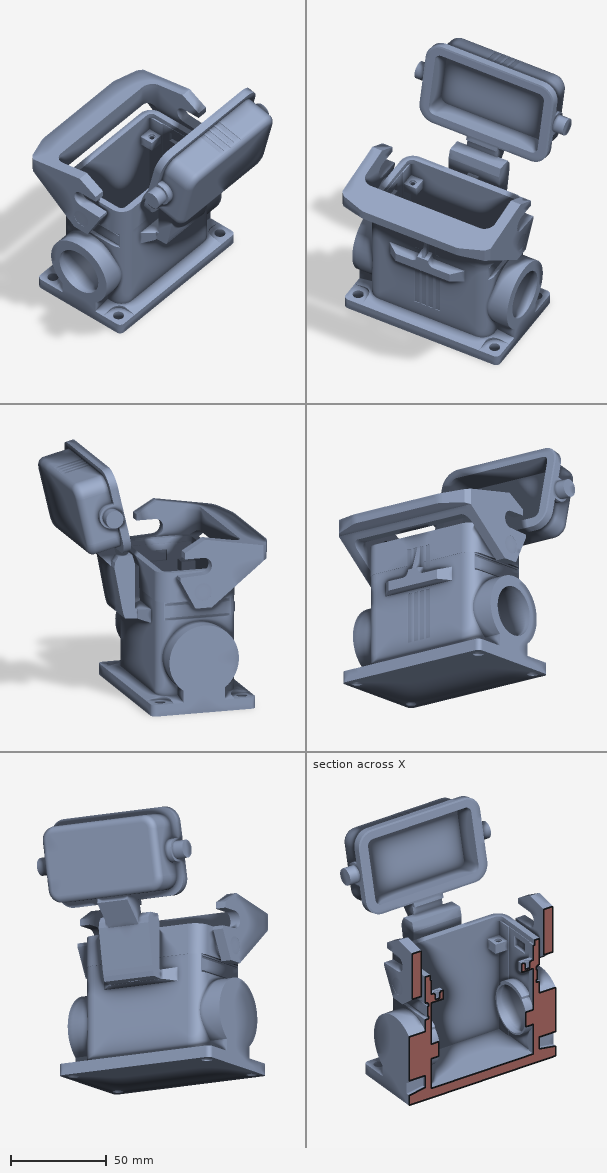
import cadquery as cq
import math

flange_length_x = 57.4
flange_length_y = 93.0
flange_edge_height = 6.2
flange_wall_height = 7.8
flange_corner_radius = 2.7
mount_hole_x = 22.5
mount_hole_y = 41.0
mount_hole_diameter = 5.8
mount_pad_radius = 5.8

body_length_x = 43.6
body_length_y = 72.6
body_height = 74.3
body_corner_radius = 7.4
collar_bottom = 58.2
collar_step = 0.2
cavity_length_x = 36.4
cavity_length_y = 66.0
cavity_corner_radius = 3.0
cavity_floor = 6.0
cavity_lip_depth = 2.9
end_wall_lip = 0.8
channel_lip = 0.25
channel_half_width = 9.8
pocket_half_width = 5.0
pocket_range = (62.0, 68.0)
pocket_depth = 1.8

entry_height = 28.1
entry_outer_radius = 19.1
entry_bore_radius = 13.3
entry_drum_radius = 14.3
entry_crown_radius = 15.3
entry_drum_y = 27.4
pedestal_width = 22.6

lug_length_x = 7.7
lug_length_y = 8.2
lug_top = 62.7
lug_thickness = 5.5
lug_screw_x = 13.5
lug_screw_y = 28.5
lug_screw_diameter = 2.6
lug_screw_depth = 4.0
lug_counterbore_diameter = 3.8
lug_counterbore_depth = 0.6

panel_width = 37.0
panel_bottom = 48.5
panel_depth = 1.45
panel_groove_width = 35.4
panel_groove_ranges = ((48.5, 49.7), (56.1, 57.4))
panel_groove_depth = 0.6

groove_count = 4
groove_width = 2.8
groove_pitch = 4.12
groove_depth = 0.3
lower_groove_range = (16.0, 42.8)
upper_groove_range = (55.1, 67.1)

catch_reach = 26.6
catch_root_half_width = 22.5
catch_tip_half_width = 16.3
catch_root_range = (44.4, 51.8)
catch_tip_range = (45.3, 50.4)
saddle_top = 54.2
saddle_root_top = 55.6
saddle_half_width = 3.2
saddle_fillet = 3.5
gusset_width = 1.8
gusset_top = 66.7

lever_half_width = 44.6
lever_arm_inner_y = 38.7
lever_tip_top = (-40.15, 86.3)
lever_peak = (-1.1, 93.1)
lever_hook_end = (9.9, 86.7)
lever_finger_top = (12.5, 73.4)
lever_finger_bottom = (12.5, 71.6)
lever_foot_right = (4.2, 56.2)
lever_foot_left = (-4.8, 56.2)
lever_shoulder_bottom = (-33.2, 79.0)
lever_tip_bottom = (-40.15, 81.1)
lever_opening_x = -23.7
lever_clearance_top = 76.2
lever_clearance_radius = 4.0
lever_opening_radius = 6.0
lever_front_half_width = 28.7
lever_front_radius = 10.0
lever_shoulder_x = -35.6
lever_shoulder_half_width = 42.3
lever_corner_radius = 2.5
pivot_height = 64.9
pivot_radius = 4.75
pivot_boss_radius = 6.4
pivot_face_setback = 0.1
lever_notch_x = -0.2
lever_notch_radius = 4.6
lever_notch_z = 78.7

hinge_half_width = 15.2
hinge_arm_half_width = 3.1
hinge_arm_top = 70.0
hinge_left_x = 28.0
hinge_link_half_width = 9.2
hinge_chamfer_z = 74.9
hinge_bottom_right = (33.5, 45.8)
hinge_heel = (34.4, 48.4)
hinge_outer_low = (35.1, 51.3)
hinge_outer_high = (39.3, 73.4)
hinge_shoulder = (39.0, 76.4)
hinge_top_right = (37.2, 79.4)
hinge_top_left = (29.5, 79.9)
hinge_link_profile = [
    (36.2, 78.0),
    (37.9, 83.9),
    (36.0, 84.0),
    (37.5, 90.0),
    (50.0, 90.0),
    (50.6, 84.2),
    (39.2, 73.0),
]

cover_tilt = math.radians(13.3)
cover_top_x = 46.7
cover_top_z = 132.39
rim_length = 46.8
rim_half_width = 38.4
rim_corner_radius = 9.0
rim_thickness = 4.5
rim_chamfer_depth = 0.2
rim_chamfer_width = 1.0
cap_length = 40.2
cap_half_width = 34.8
cap_corner_radius = 7.3
cap_depth = 22.15
cap_fillet = 3.6
cover_cavity_length = 36.3
cover_cavity_half_width = 32.7
cover_cavity_radius = 3.5
cover_cavity_depth = 14.0
cover_pin_depth = 7.4
cover_pin_boss_radius = 6.2

overlap = 1.0



def block(x_range, y_range, z_range):
    """Box between the given limits."""
    return cq.Workplane("XY").box(
        x_range[1] - x_range[0],
        y_range[1] - y_range[0],
        z_range[1] - z_range[0],
        centered=False,
    ).translate((x_range[0], y_range[0], z_range[0]))


def rounded_block(length_x, length_y, radius, bottom, top):
    """Upright block centred on Z with rounded vertical edges."""
    base = cq.Workplane("XY").workplane(offset=bottom).rect(length_x, length_y)
    return base.extrude(top - bottom).edges("|Z").fillet(radius)


def y_cylinder(x, z, radius, y_start, y_end):
    """Cylinder parallel to Y."""
    base = cq.Workplane("XZ", origin=(0, y_start, 0)).center(x, z).circle(radius)
    return base.extrude(y_start - y_end)


def side_profile(points, half_width):
    """Closed XZ polygon extruded symmetrically about Y = 0."""
    return cq.Workplane("XZ").polyline(points).close().extrude(half_width, both=True)


def both_ends(shape):
    """Shape together with its mirror image across Y = 0."""
    return shape.union(shape.mirror("XZ"))




def make_corner_pad():
    """Cutter that levels the flange round the mounting hole at the +X, +Y corner."""
    level = (flange_edge_height, flange_wall_height + overlap)
    pad = (
        cq.Workplane("XY")
        .workplane(offset=level[0])
        .center(mount_hole_x, mount_hole_y)
        .circle(mount_pad_radius)
        .extrude(level[1] - level[0])
    )
    outer_x = flange_length_x / 2 + overlap
    outer_y = flange_length_y / 2 + overlap
    side_strip = block((mount_hole_x, outer_x), (mount_hole_y - mount_pad_radius, outer_y), level)
    end_strip = block((mount_hole_x - mount_pad_radius, outer_x), (mount_hole_y, outer_y), level)
    return pad.union(side_strip).union(end_strip)


def make_flange():
    half_x = flange_length_x / 2
    half_y = flange_length_y / 2
    flange = rounded_block(
        flange_length_x, flange_length_y, flange_corner_radius, 0, flange_wall_height
    )
    slope_x = side_profile(
        [
            (-half_x, 0),
            (half_x, 0),
            (half_x, flange_edge_height),
            (body_length_x / 2, flange_wall_height),
            (-body_length_x / 2, flange_wall_height),
            (-half_x, flange_edge_height),
        ],
        half_y,
    )
    slope_y = (
        cq.Workplane("YZ")
        .polyline(
            [
                (-half_y, 0),
                (half_y, 0),
                (half_y, flange_edge_height),
                (body_length_y / 2, flange_wall_height),
                (-body_length_y / 2, flange_wall_height),
                (-half_y, flange_edge_height),
            ]
        )
        .close()
        .extrude(half_x, both=True)
    )
    flange = flange.intersect(slope_x).intersect(slope_y)
    corner_pad = make_corner_pad()
    pads = corner_pad.union(corner_pad.mirror("YZ"))
    flange = flange.cut(both_ends(pads))
    holes = (
        cq.Workplane("XY")
        .rect(2 * mount_hole_x, 2 * mount_hole_y, forConstruction=True)
        .vertices()
        .circle(mount_hole_diameter / 2)
        .extrude(flange_wall_height)
    )
    return flange.cut(holes)


def make_shell():
    lower = rounded_block(
        body_length_x - 2 * collar_step, body_length_y, body_corner_radius, 0, collar_bottom
    )
    collar = rounded_block(
        body_length_x, body_length_y, body_corner_radius, collar_bottom, body_height
    )
    return lower.union(collar)


def make_entry_boss():
    """Round cable entry and its pedestal at the -Y end."""
    end_y = -flange_length_y / 2
    inner_y = -cavity_length_y / 2
    boss = y_cylinder(0, entry_height, entry_outer_radius, end_y, inner_y)
    half_width = pedestal_width / 2
    pedestal = block((-half_width, half_width), (end_y, inner_y), (0, entry_height))
    return boss.union(pedestal)


def make_end_panel():
    """Cutter for the shallow panel and its two grooves at the -Y end."""
    outer_y = -body_length_y / 2 - overlap
    floor_y = -body_length_y / 2 + panel_depth
    groove_y = floor_y + panel_groove_depth
    half_width = panel_width / 2
    cutter = block((-half_width, half_width), (outer_y, floor_y), (panel_bottom, collar_bottom))
    half_groove = panel_groove_width / 2
    for groove_range in panel_groove_ranges:
        cutter = cutter.union(
            block((-half_groove, half_groove), (floor_y - overlap, groove_y), groove_range)
        )
    return cutter


def make_cavity():
    """Cutter for the cavity: rounded mouth, square well, end channels and pockets."""
    half_y = cavity_length_y / 2
    lip_bottom = body_height - cavity_lip_depth
    mouth = rounded_block(
        cavity_length_x, cavity_length_y, cavity_corner_radius, lip_bottom, body_height + overlap
    )
    half_x = cavity_length_x / 2
    well_y = half_y - end_wall_lip
    well = block((-half_x, half_x), (-well_y, well_y), (cavity_floor, lip_bottom))
    channel_y = half_y - channel_lip
    channel = block(
        (-channel_half_width, channel_half_width),
        (-channel_y, channel_y),
        (cavity_floor, lip_bottom),
    )
    pocket_y = half_y + pocket_depth
    pocket = block(
        (-pocket_half_width, pocket_half_width), (-pocket_y, pocket_y), pocket_range
    )
    return mouth.union(well).union(channel).union(pocket)


def make_entry_drum():
    """Inward continuation of the cable entry at the -Y end."""
    wall_y = -cavity_length_y / 2 - overlap / 2
    drum = y_cylinder(0, entry_height, entry_drum_radius, wall_y, -entry_drum_y)
    crown = y_cylinder(0, entry_height, entry_crown_radius, wall_y, -entry_drum_y)
    crown_clip = block(
        (-channel_half_width, channel_half_width),
        (wall_y, -entry_drum_y),
        (entry_height, body_height),
    )
    return drum.union(crown.intersect(crown_clip))


def make_lug():
    """Screw lug in the +X, -Y corner of the cavity."""
    wall_x = cavity_length_x / 2
    wall_y = -cavity_length_y / 2
    lug = block(
        (wall_x - lug_length_x, wall_x + overlap),
        (wall_y - overlap, wall_y + lug_length_y),
        (lug_top - lug_thickness, lug_top),
    )
    face = cq.Workplane("XY", origin=(lug_screw_x, -lug_screw_y, lug_top))
    screw = face.circle(lug_screw_diameter / 2).extrude(-lug_screw_depth)
    counterbore = face.circle(lug_counterbore_diameter / 2).extrude(-lug_counterbore_depth)
    return lug.cut(screw).cut(counterbore)


def make_grip_grooves(face_x, z_range):
    """Cutter for a row of upright grooves in the -X face."""
    cutter = cq.Workplane("XY")
    for index in range(groove_count):
        centre_y = (index - (groove_count - 1) / 2) * groove_pitch
        y_range = (centre_y - groove_width / 2, centre_y + groove_width / 2)
        cutter = cutter.union(block((face_x - overlap, face_x + groove_depth), y_range, z_range))
    return cutter


def make_catch():
    """Tapered catch bar with a central saddle on the +X side."""
    root_x = body_length_x / 2 - overlap
    wall_x = body_length_x / 2
    plan = (
        cq.Workplane("XY")
        .polyline(
            [
                (root_x, -catch_root_half_width),
                (wall_x, -catch_root_half_width),
                (catch_reach, -catch_tip_half_width),
                (catch_reach, catch_tip_half_width),
                (wall_x, catch_root_half_width),
                (root_x, catch_root_half_width),
            ]
        )
        .close()
        .extrude(body_height)
    )
    bar_profile = [
        (root_x, catch_root_range[0]),
        (wall_x, catch_root_range[0]),
        (catch_reach, catch_tip_range[0]),
        (catch_reach, catch_tip_range[1]),
        (wall_x, catch_root_range[1]),
        (root_x, catch_root_range[1]),
    ]
    bar = plan.intersect(side_profile(bar_profile, catch_root_half_width))
    saddle_base = catch_tip_range[1]
    foot = saddle_half_width + saddle_fillet
    arc_reach = saddle_fillet * (1 - math.sqrt(0.5))
    saddle = (
        cq.Workplane("YZ", origin=(root_x, 0, 0))
        .moveTo(-foot, saddle_base)
        .threePointArc(
            (-saddle_half_width - arc_reach, saddle_base + arc_reach),
            (-saddle_half_width, saddle_base + saddle_fillet),
        )
        .lineTo(-saddle_half_width, saddle_root_top)
        .lineTo(saddle_half_width, saddle_root_top)
        .lineTo(saddle_half_width, saddle_base + saddle_fillet)
        .threePointArc(
            (saddle_half_width + arc_reach, saddle_base + arc_reach),
            (foot, saddle_base),
        )
        .close()
        .extrude(catch_reach - root_x)
    )
    saddle_profile = [
        (root_x, saddle_base),
        (catch_reach, saddle_base),
        (catch_reach, saddle_top),
        (wall_x, saddle_root_top),
        (root_x, saddle_root_top),
    ]
    return bar.union(saddle.intersect(side_profile(saddle_profile, foot)))


def make_gusset():
    """Thin triangular rib above the -X catch."""
    wall_x = -body_length_x / 2
    profile = [
        (wall_x + overlap, catch_root_range[1]),
        (-catch_reach + overlap / 2, saddle_top),
        (wall_x, gusset_top),
        (wall_x + overlap, gusset_top),
    ]
    return side_profile(profile, gusset_width / 2)


def make_housing():
    entry = both_ends(make_entry_boss())
    housing = make_flange().union(make_shell()).union(entry)
    housing = housing.cut(both_ends(make_end_panel()))
    housing = housing.cut(make_cavity())
    housing = housing.union(both_ends(make_entry_drum()))
    bore = y_cylinder(0, entry_height, entry_bore_radius, -flange_length_y / 2, -entry_drum_y)
    housing = housing.cut(bore)
    lugs = both_ends(make_lug())
    housing = housing.union(lugs).union(lugs.mirror("YZ"))
    lower_face_x = -body_length_x / 2 + collar_step
    housing = housing.cut(make_grip_grooves(lower_face_x, lower_groove_range))
    housing = housing.cut(make_grip_grooves(-body_length_x / 2, upper_groove_range))
    catch = make_catch()
    return housing.union(catch).union(catch.mirror("YZ")).union(make_gusset())




def make_lever():
    notch_top = lever_notch_z + lever_notch_radius
    notch_bottom = lever_notch_z - lever_notch_radius
    side = (
        cq.Workplane("XZ")
        .moveTo(*lever_tip_top)
        .lineTo(*lever_peak)
        .lineTo(*lever_hook_end)
        .lineTo(lever_hook_end[0], notch_top)
        .lineTo(lever_notch_x, notch_top)
        .threePointArc(
            (lever_notch_x - lever_notch_radius, lever_notch_z),
            (lever_notch_x, notch_bottom),
        )
        .lineTo(*lever_finger_top)
        .lineTo(*lever_finger_bottom)
        .lineTo(*lever_foot_right)
        .lineTo(*lever_foot_left)
        .lineTo(*lever_shoulder_bottom)
        .lineTo(*lever_tip_bottom)
        .close()
        .extrude(lever_half_width, both=True)
    )
    tip_x = lever_tip_top[0]
    side_x = lever_shoulder_x + lever_corner_radius
    plan = (
        cq.Workplane("XY")
        .polyline(
            [
                (tip_x, -lever_front_half_width),
                (lever_shoulder_x, -lever_shoulder_half_width),
                (side_x, -lever_half_width),
                (body_length_x, -lever_half_width),
                (body_length_x, lever_half_width),
                (side_x, lever_half_width),
                (lever_shoulder_x, lever_shoulder_half_width),
                (tip_x, lever_front_half_width),
            ]
        )
        .close()
        .extrude(cover_top_z)
        .edges("|Z and <X")
        .fillet(lever_front_radius)
    )
    inner_y = (-lever_arm_inner_y, lever_arm_inner_y)
    opening = (
        block((lever_opening_x, body_length_x), inner_y, (0, cover_top_z))
        .edges("|Z")
        .fillet(lever_opening_radius)
    )
    clearance = (
        block((tip_x, 0), inner_y, (0, lever_clearance_top))
        .edges("|X and >Z")
        .fillet(lever_clearance_radius)
    )
    return side.intersect(plan).cut(opening).cut(clearance)


def make_pivot():
    """Pivot boss and pin joining the -Y lever arm to the housing."""
    wall_y = -body_length_y / 2 + overlap
    boss = y_cylinder(0, pivot_height, pivot_boss_radius, -lever_arm_inner_y, wall_y)
    pin_end = -lever_half_width + pivot_face_setback
    return boss.union(y_cylinder(0, pivot_height, pivot_radius, pin_end, wall_y))


def make_pivoted_lever():
    pin_bore = y_cylinder(0, pivot_height, pivot_radius, -lever_half_width, lever_half_width)
    return make_lever().cut(pin_bore).union(both_ends(make_pivot()))




def make_hinge():
    plate_profile = [
        (catch_reach - overlap / 2, catch_tip_range[0]),
        hinge_bottom_right,
        hinge_heel,
        hinge_outer_low,
        hinge_outer_high,
        hinge_shoulder,
        hinge_top_right,
        hinge_top_left,
        (hinge_left_x, hinge_chamfer_z),
        (hinge_left_x, catch_tip_range[1]),
        (catch_reach - overlap / 2, catch_tip_range[1]),
    ]
    plate = side_profile(plate_profile, hinge_half_width)
    arm = block(
        (body_length_x / 2 - overlap, hinge_left_x + overlap),
        (-hinge_arm_half_width, hinge_arm_half_width),
        (catch_tip_range[0], hinge_arm_top),
    )
    return plate.union(arm)




def make_cover():
    sine = math.sin(cover_tilt)
    cosine = math.cos(cover_tilt)
    half_rim = rim_length / 2
    front = cq.Plane(
        origin=(cover_top_x - half_rim * sine, 0, cover_top_z - half_rim * cosine),
        xDir=(0, 1, 0),
        normal=(cosine, 0, -sine),
    )
    front_face = cq.selectors.DirectionMinMaxSelector(front.zDir, False)
    back_face = cq.selectors.DirectionMinMaxSelector(front.zDir)
    depth_edges = cq.selectors.ParallelDirSelector(front.zDir)
    face = cq.Workplane(front)
    rim = face.rect(2 * rim_half_width, rim_length).extrude(rim_thickness)
    rim = rim.edges(depth_edges).fillet(rim_corner_radius)
    rim = rim.faces(front_face).edges().chamfer(rim_chamfer_depth, rim_chamfer_width)
    cap = face.rect(2 * cap_half_width, cap_length).extrude(cap_depth)
    cap = cap.edges(depth_edges).fillet(cap_corner_radius)
    cap = cap.faces(back_face).edges().fillet(cap_fillet)
    cover = rim.union(cap)

    side_plane = cq.Plane(
        origin=front.toWorldCoords((0, 0, cover_pin_depth)).toTuple(),
        xDir=front.zDir.toTuple(),
        normal=(0, -1, 0),
    )
    side = cq.Workplane(side_plane)
    boss = side.circle(cover_pin_boss_radius).extrude(rim_half_width, both=True)
    bridge_length = cover_pin_depth - rim_thickness / 2
    bridge = (
        side.center(-bridge_length / 2, 0)
        .rect(bridge_length, 2 * cover_pin_boss_radius)
        .extrude(rim_half_width, both=True)
    )
    pin = side.circle(pivot_radius).extrude(lever_half_width, both=True)
    link = side_profile(hinge_link_profile, hinge_link_half_width)
    cover = cover.union(boss).union(bridge).union(pin).union(link)

    cavity = face.rect(2 * cover_cavity_half_width, cover_cavity_length).extrude(cover_cavity_depth)
    cover = cover.cut(cavity.edges(depth_edges).fillet(cover_cavity_radius))

    top = cap_length / 2
    groove_length = cap_depth - rim_thickness - cap_fillet / 2
    for index in range(groove_count):
        centre_y = (index - (groove_count - 1) / 2) * groove_pitch
        groove = (
            cq.Workplane(front)
            .workplane(offset=rim_thickness)
            .center(centre_y, top)
            .rect(groove_width, 2 * groove_depth)
            .extrude(groove_length)
        )
        cover = cover.cut(groove)
    return cover



result = make_housing().union(make_pivoted_lever()).union(make_hinge()).union(make_cover())